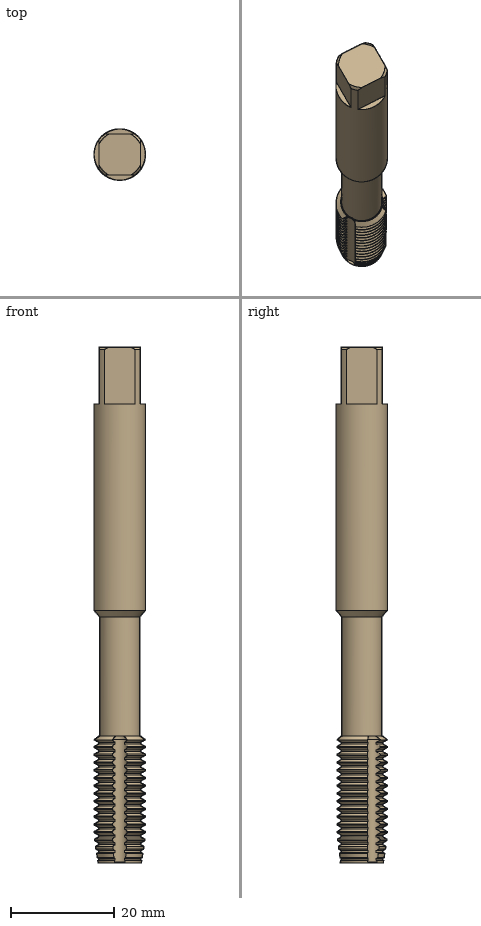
import cadquery as cq

overall_length = 100.0
shank_radius = 5.0
shank_bottom = 49.0
drive_length = 11.0
drive_width = 8.0
drive_chamfer = 0.5
neck_radius = 3.9
shoulder_length = 1.3

pitch = 1.5
crest_radius = 5.0
thread_depth = 0.9
root_radius = crest_radius - thread_depth
crest_flat = 0.2
root_flat = 0.3
top_crest_index = 16
top_crest = top_crest_index * pitch
thread_top = 24.6

lead_length = 5.0
tip_radius = 4.2

flute_count = 3
flute_radius = 1.5
flute_floor = 3.7
flute_bottom = 0.2
flute_step_height = top_crest
flute_step = 0.1
first_flute_angle = -90.0


def make_shank():
    """Neck, conical shoulder, shank and the square drive, as one body."""
    outline = [
        (0, thread_top),
        (neck_radius, thread_top),
        (neck_radius, shank_bottom - shoulder_length),
        (shank_radius, shank_bottom),
        (shank_radius, overall_length - drive_chamfer),
        (shank_radius - drive_chamfer, overall_length),
        (0, overall_length),
    ]
    body = cq.Workplane("XZ").polyline(outline).close().revolve(360, (0, 0), (0, 1))
    drive_waste = (
        cq.Workplane("XY", origin=(0, 0, overall_length - drive_length))
        .circle(2 * shank_radius)
        .rect(drive_width, drive_width)
        .extrude(drive_length)
    )
    return body.cut(drive_waste)


def make_flute_cutter(angle):
    """Round bar along Z, stepped slightly thinner at its upper end."""
    lower = cq.Workplane("XY", origin=(0, 0, flute_bottom)).circle(flute_radius)
    lower = lower.extrude(flute_step_height - flute_bottom)
    upper = cq.Workplane("XY", origin=(0, 0, flute_step_height)).circle(flute_radius - flute_step)
    upper = upper.extrude(thread_top - flute_step_height)
    cutter = lower.union(upper).translate((flute_floor + flute_radius, 0, 0))
    return cutter.rotate((0, 0, 0), (0, 0, 1), angle)


def make_threaded_end():
    """Ridged cylinder with a tapered lead and straight flutes."""
    root_offset = (pitch - root_flat) / 2
    outline = [(0, 0), (crest_radius, 0), (crest_radius, crest_flat / 2)]
    for index in range(1, top_crest_index + 1):
        crest = index * pitch
        outline += [
            (root_radius, crest - pitch + root_offset),
            (root_radius, crest - root_offset),
            (crest_radius, crest - crest_flat / 2),
        ]
        if index < top_crest_index:
            outline.append((crest_radius, crest + crest_flat / 2))
    outline += [(root_radius, thread_top), (0, thread_top)]
    ridges = cq.Workplane("XZ").polyline(outline).close().revolve(360, (0, 0), (0, 1))
    envelope = (
        cq.Workplane("XZ")
        .polyline([
            (0, 0),
            (tip_radius, 0),
            (crest_radius, lead_length),
            (crest_radius, thread_top),
            (0, thread_top),
        ])
        .close()
        .revolve(360, (0, 0), (0, 1))
    )
    body = ridges.intersect(envelope)
    for index in range(flute_count):
        body = body.cut(make_flute_cutter(first_flute_angle + index * 360 / flute_count))
    return body


shank = make_shank()
threaded_end = make_threaded_end()
result = cq.Compound.makeCompound([shank.val(), threaded_end.val()])